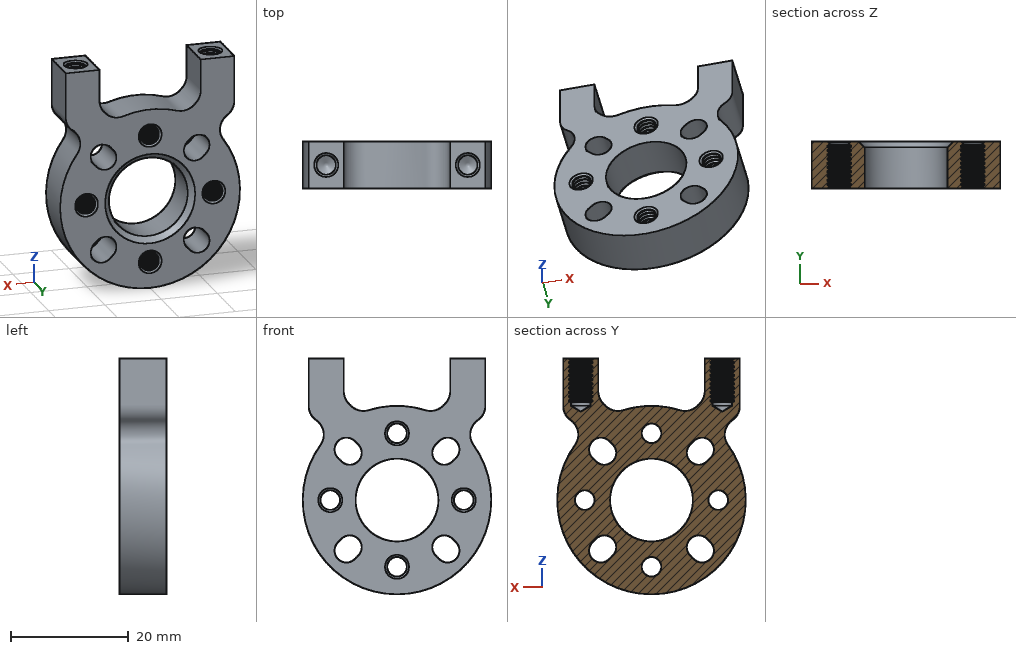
import cadquery as cq
import math

thickness = 8.0
ring_radius = 16.0
bore_diameter = 14.0
bore_chamfer = 1.0

top_height = 24.0
arm_axis = 12.0
arm_width = 6.0
arm_inner = arm_axis - arm_width / 2
arm_outer = arm_axis + arm_width / 2
shoulder_height = 16.0
shoulder_radius = arm_width / 2
waist_radius = 3.0

corner_height = 18.45
corner_radius = 3.0

hole_square = 16.0
hole_circle_radius = hole_square / math.sqrt(2)
slot_width = 4.0
slot_stretch = 0.8

major_radius = 2.0
minor_radius = 1.65
mouth_radius = 2.05
mouth_depth = 0.25
pitch = 0.7
groove_root_width = 0.1
flank_angle = math.radians(30)
arm_hole_depth = 8.0
drill_half_angle = math.radians(59)


def polar(centre, radius, angle):
    """Point at a radius and angle (radians) about a centre."""
    return (centre[0] + radius * math.cos(angle), centre[1] + radius * math.sin(angle))


def direction(start, end):
    """Angle in radians of the line from start to end."""
    return math.atan2(end[1] - start[1], end[0] - start[0])


def mirrored(point):
    return (-point[0], point[1])


def add_step(outline, middle, end):
    """Continue the outline with an arc through the middle point, or a line if there is none."""
    if middle is None:
        return outline.lineTo(*end)
    return outline.threePointArc(middle, end)


def half_outline():
    """Right side of the outline from the top arc of the ring, round the arm, to its bottom arc.

    Each entry is (middle point of an arc or None for a line, end point); the first is the start.
    All the arcs meet their neighbours tangentially.
    """
    origin = (0.0, 0.0)
    diagonal = math.radians(-45)

    corner = (arm_inner - corner_radius, corner_height)
    rise = corner[1] - corner[0]
    root_distance = ring_radius + corner_radius
    root_x = (math.sqrt(2 * root_distance**2 - rise**2) - rise) / 2
    root = (root_x, root_x + rise)
    ring_top_angle = direction(origin, root)
    root_start_angle = ring_top_angle - math.pi

    shoulder = (arm_axis, shoulder_height)
    waist_distance = ring_radius + waist_radius
    shoulder_distance = math.dist(origin, shoulder)
    waist_turn = math.acos(
        (waist_distance**2 + shoulder_distance**2 - (waist_radius + shoulder_radius) ** 2)
        / (2 * waist_distance * shoulder_distance)
    )
    ring_side_angle = direction(origin, shoulder) - waist_turn
    waist = polar(origin, waist_distance, ring_side_angle)
    shoulder_end_angle = direction(shoulder, waist)
    waist_start_angle = shoulder_end_angle + math.pi
    waist_end_angle = ring_side_angle + math.pi
    waist_mid_angle = (waist_start_angle + waist_end_angle) / 2

    return [
        (None, polar(origin, ring_radius, ring_top_angle)),
        (polar(root, corner_radius, (root_start_angle + diagonal) / 2),
         polar(root, corner_radius, diagonal)),
        (None, polar(corner, corner_radius, diagonal)),
        (polar(corner, corner_radius, diagonal / 2), (arm_inner, corner_height)),
        (None, (arm_inner, top_height)),
        (None, (arm_outer, top_height)),
        (None, (arm_outer, shoulder_height)),
        (polar(shoulder, shoulder_radius, shoulder_end_angle / 2),
         polar(shoulder, shoulder_radius, shoulder_end_angle)),
        (polar(waist, waist_radius, waist_mid_angle),
         polar(waist, waist_radius, waist_end_angle)),
    ]


def make_body():
    """Ring and arms as one plate, with the bore chamfered on the +Y side."""
    back_plane = cq.Workplane("XZ", origin=(0, thickness / 2, 0))
    right_side = half_outline()
    ring_top = right_side[0][1]
    outline = back_plane.moveTo(*ring_top)
    for middle, end in right_side[1:]:
        outline = add_step(outline, middle, end)
    outline = outline.threePointArc((0, -ring_radius), mirrored(right_side[-1][1]))
    for i in range(len(right_side) - 1, 0, -1):
        middle = right_side[i][0]
        end = right_side[i - 1][1]
        outline = add_step(outline, middle and mirrored(middle), mirrored(end))
    body = outline.threePointArc((0, ring_radius), ring_top).close().extrude(thickness)
    bore_radius = bore_diameter / 2
    bore = back_plane.circle(bore_radius).extrude(thickness)
    bevel = cq.Workplane(cq.Solid.makeCone(
        bore_radius + bore_chamfer, bore_radius, bore_chamfer,
        pnt=cq.Vector(0, thickness / 2, 0), dir=cq.Vector(0, -1, 0)))
    return body.cut(bore).cut(bevel)


def make_slots():
    """Four radial slots through the ring, inner ends centred on the hole circle."""
    slots = cq.Workplane("XZ", origin=(0, thickness / 2, 0))
    centre_radius = hole_circle_radius + slot_stretch / 2
    for angle in range(45, 360, 90):
        centre = polar((0, 0), centre_radius, math.radians(angle))
        slot = slots.center(*centre).slot2D(slot_width + slot_stretch, slot_width, angle)
        yield slot.extrude(thickness)


def threaded_wall(depth):
    """Wall profile (radius, height) from the flared mouth at Z = 0 down to a depth.

    The thread is a stack of V grooves, one per pitch.
    """
    flank_height = (major_radius - minor_radius) * math.tan(flank_angle)
    groove_height = groove_root_width + 2 * flank_height
    wall = [(mouth_radius, 0), (minor_radius, -mouth_depth)]
    groove_count = math.floor((depth - 2 * mouth_depth) / pitch)
    for i in range(groove_count):
        top = -mouth_depth - i * pitch - (pitch - groove_height)
        wall += [
            (minor_radius, top),
            (major_radius, top - flank_height),
            (major_radius, top - flank_height - groove_root_width),
            (minor_radius, top - groove_height),
        ]
    return wall


def revolved(wall):
    """Solid of revolution about Z, closed along the axis."""
    profile = [(0, wall[0][1])] + wall + [(0, wall[-1][1])]
    return cq.Workplane("XZ").polyline(profile).close().revolve(360, (0, 0, 0), (0, 1, 0))


def through_tap():
    """Tapped hole through the ring thickness, flared at both ends."""
    far_end = [(minor_radius, mouth_depth - thickness), (mouth_radius, -thickness)]
    return revolved(threaded_wall(thickness) + far_end)


def blind_tap():
    """Tapped blind hole ending in a drill point."""
    wall = threaded_wall(arm_hole_depth) + [(minor_radius, -arm_hole_depth)]
    drill_point = cq.Workplane(cq.Solid.makeCone(
        minor_radius, 0, minor_radius / math.tan(drill_half_angle),
        pnt=cq.Vector(0, 0, -arm_hole_depth), dir=cq.Vector(0, 0, -1)))
    return revolved(wall).union(drill_point)


result = make_body()
for slot in make_slots():
    result = result.cut(slot)

ring_tap = through_tap().rotate((0, 0, 0), (1, 0, 0), 90)
for angle in range(0, 360, 90):
    x, z = polar((0, 0), hole_circle_radius, math.radians(angle))
    result = result.cut(ring_tap.translate((x, -thickness / 2, z)))

arm_tap = blind_tap()
for x in (-arm_axis, arm_axis):
    result = result.cut(arm_tap.translate((x, 0, top_height)))